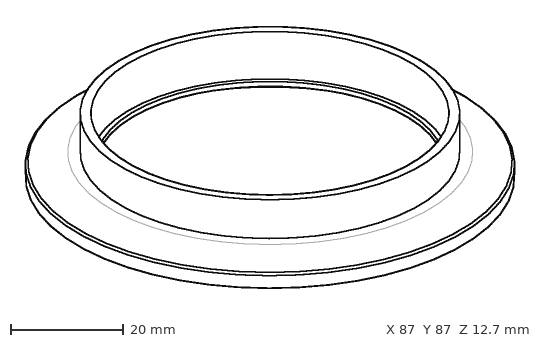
import cadquery as cq

flange_diameter = 87.0
cone_top_diameter = 72.0
tube_outer_diameter = 67.5
socket_diameter = 63.7
bore_diameter = 61.7
total_height = 12.7
rim_height = 2.5
rim_chamfer = 0.4
flange_height = 5.0
socket_floor = 3.2
recess_diameter = 70.0
recess_depth = 2.3

flange_radius = flange_diameter / 2
cone_top_radius = cone_top_diameter / 2
tube_radius = tube_outer_diameter / 2
socket_radius = socket_diameter / 2
bore_radius = bore_diameter / 2
recess_radius = recess_diameter / 2

section = (
    cq.Workplane("XZ")
    .moveTo(bore_radius, recess_depth)
    .lineTo(recess_radius, recess_depth)
    .lineTo(recess_radius, 0)
    .lineTo(flange_radius, 0)
    .lineTo(flange_radius, rim_height)
    .lineTo(flange_radius - rim_chamfer, rim_height + rim_chamfer)
    .lineTo(cone_top_radius, flange_height)
    .lineTo(tube_radius, flange_height)
    .lineTo(tube_radius, total_height)
    .lineTo(socket_radius, total_height)
    .lineTo(socket_radius, socket_floor)
    .lineTo(bore_radius, socket_floor)
    .close()
)

result = section.revolve(360, (0, 0, 0), (0, 1, 0))